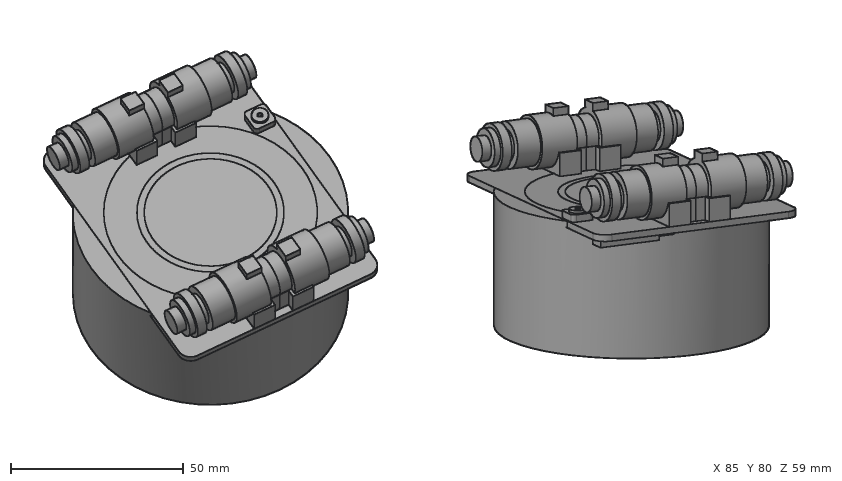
import cadquery as cq

housing_diameter = 80.0
housing_height = 40.0
boss_diameter = 62.0

ring_outer_diameter = 42.7
ring_inner_diameter = 38.5

plate_length = 85.0
plate_width = 66.0
plate_thickness = 2.0
plate_corner_radius = 4.0
plate_bottom = housing_height - plate_thickness

foot_length = 17.0
foot_height = 7.0
foot_inner_end = 3.0
foot_outer_end = 10.0
connector_x = (plate_length - foot_length) / 2
axis_height = 9.0
collar_diameter = 12.5
body_diameter = 16.0
body_start = 4.0
leg_length = 12.0
barrel_steps = [
    (collar_diameter, body_start),
    (body_diameter, 15.5),
    (14.0, 23.0),
    (9.5, 25.0),
    (14.0, 28.0),
    (11.5, 30.0),
    (7.5, plate_width / 2),
]
key_size = 5.0
key_top = 10.0

socket_x = -21.2
socket_y = 28.9
socket_size = 7.2
socket_height = 2.2
socket_corner_radius = 1.2
socket_cap_diameter = 5.0
socket_cap_top = 3.0
socket_hole_diameter = 1.5
socket_pin_diameter = 1.0

header_face_x = -40.6
header_depth = 5.0
header_start_y = 12.3
header_end_y = 31.6
header_height = 2.1
latch_start_y = 7.6
latch_height = 0.9


def box_between(x_range, y_range, z_range):
    """Box spanning the given (low, high) limits on each axis."""
    x_low, x_high = x_range
    y_low, y_high = y_range
    z_low, z_high = z_range
    box = cq.Workplane("XY").box(x_high - x_low, y_high - y_low, z_high - z_low, centered=False)
    return box.translate((x_low, y_low, z_low))


def disc(diameter, bottom, top):
    """Upright cylinder on the Z axis."""
    return cq.Workplane("XY").workplane(offset=bottom).circle(diameter / 2).extrude(top - bottom)


def make_ring():
    outside = disc(ring_outer_diameter, plate_bottom, housing_height)
    return outside.cut(disc(ring_inner_diameter, plate_bottom, housing_height))


def make_plate():
    blank = (
        cq.Workplane("XY")
        .workplane(offset=plate_bottom)
        .rect(plate_length, plate_width)
        .extrude(plate_thickness)
        .edges("|Z")
        .fillet(plate_corner_radius)
    )
    return blank.cut(disc(boss_diameter, plate_bottom, housing_height))


def make_header():
    """Header and latch share the same face and depth in X and touch the plate from below."""
    x_range = (header_face_x, header_face_x + header_depth)
    header = box_between(
        x_range, (header_start_y, header_end_y), (plate_bottom - header_height, plate_bottom)
    )
    latch = box_between(
        x_range, (latch_start_y, header_start_y), (plate_bottom - latch_height, plate_bottom)
    )
    return header.union(latch)


def make_housing(plate, ring, header):
    """Solid cylinder with recesses that match the plate, the ring and the header."""
    cylinder = disc(housing_diameter, 0, housing_height)
    return cylinder.cut(plate).cut(ring).cut(header)


def make_connector(x_side, y_side):
    """One connector, built at X = 0 along +Y on top of the plate, then moved to its corner."""
    axis_z = housing_height + axis_height
    foot_z = (housing_height, housing_height + foot_height)

    foot = box_between((-foot_length / 2, foot_length / 2), (foot_inner_end, foot_outer_end), foot_z)
    leg = box_between((-leg_length / 2, leg_length / 2), (0, foot_inner_end), foot_z)
    key = box_between(
        (-key_size / 2, key_size / 2), (body_start, body_start + key_size), (axis_z, axis_z + key_top)
    )
    connector = foot.union(leg).union(key)

    step_start = 0.0
    for diameter, step_end in barrel_steps:
        step = cq.Solid.makeCylinder(
            diameter / 2, step_end - step_start, cq.Vector(0, step_start, axis_z), cq.Vector(0, 1, 0)
        )
        connector = connector.union(cq.Workplane(step))
        step_start = step_end

    if y_side < 0:
        connector = connector.mirror("XZ")
    return connector.translate((x_side * connector_x, 0, 0))


def make_socket():
    base = (
        cq.Workplane("XY")
        .rect(socket_size, socket_size)
        .extrude(socket_height)
        .edges("|Z")
        .fillet(socket_corner_radius)
    )
    cap = disc(socket_cap_diameter, socket_height, socket_cap_top)
    hole = disc(socket_hole_diameter, socket_height, socket_cap_top)
    pin = disc(socket_pin_diameter, socket_height, socket_cap_top)
    socket = base.union(cap).cut(hole).union(pin)
    return socket.translate((socket_x, socket_y, housing_height))


plate = make_plate()
ring = make_ring()
header = make_header()
housing = make_housing(plate, ring, header)
socket = make_socket()
connectors = [make_connector(x_side, y_side) for x_side in (-1, 1) for y_side in (-1, 1)]

result = cq.Compound.makeCompound(
    [
        housing.val(),
        plate.val(),
        ring.val(),
        header.val(),
        socket.val(),
        *[connector.val() for connector in connectors],
    ]
)